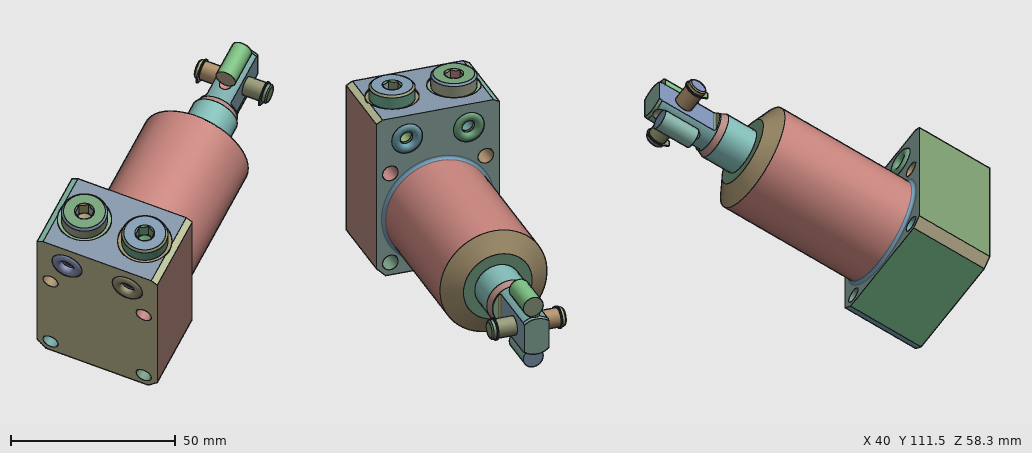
import cadquery as cq
import math


block_width = 40.0
block_depth = 26.0
block_height = 54.4
block_top = 34.6
top_chamfer_width = 2.0
top_chamfer_height = 1.1
bottom_chamfer = 3.0
bolt_hole_diameter = 5.0
bolt_offset = 15.5
block_bottom = block_top - block_height
block_front = -block_depth
block_middle = -block_depth / 2

barrel_radius = 17.4
barrel_length = 47.6
barrel_root_fillet = 1.0
nose_radius = 11.2
nose_length = 3.7
barrel_end = barrel_length + nose_length

rod_radius = 7.5
rod_end = 61.5
eye_radius = 6.5
eye_start = 63.7
eye_width = 8.0
flats_start = 64.1
flat_fillet = 0.7
rod_tip = 84.6
tip_taper_length = 1.0
tip_taper = 0.3

pin_to_tip = 8.9
cross_y = rod_tip - pin_to_tip
pin_radius = 3.0
pin_length = 24.1
pin_chamfer = 0.5
clip_x = 10.4
clip_thickness = 0.5
clip_radius = 3.5
clip_lug_reach = 4.3
clip_lug_half_width = 1.2
roller_radius = 3.2
roller_length = 12.2
roller_outer_z = 12.0
roller_z = roller_outer_z - roller_radius
roller_start = cross_y - roller_length / 2
roller_end = cross_y + roller_length / 2

port_x = 10.0
port_depth = 8.0
port_z = block_top - port_depth
passage_radius = 2.1
o_ring_outer_radius = 5.0
o_ring_tube_radius = 1.5
o_ring_protrusion = 0.9
o_ring_radius = o_ring_outer_radius - o_ring_tube_radius
o_ring_inset = o_ring_tube_radius - o_ring_protrusion
o_ring_recess_depth = o_ring_inset + o_ring_tube_radius

plug_head_radius = 7.0
plug_head_rise = 3.9
plug_chamfer = 0.7
plug_shank_radius = 4.5
plug_tip_depth = 8.7
spotface_radius = 8.3
spotface_depth = 0.6
hex_flats = 5.0
hex_corner_radius = hex_flats / math.sqrt(3)
hex_depth = 4.5
hex_entry_radius = 3.0
drill_radius = hex_flats / 2
drill_cone_depth = 1.5

plug_top = block_top + plug_head_rise
spotface_z = block_top - spotface_depth
plug_tip_z = block_top - plug_tip_depth
hex_floor_z = plug_top - hex_depth


def y_cylinder(radius, y_start, y_end, x, z):
    """A cylinder parallel to the rod."""
    base = cq.Vector(x, y_start, z)
    return cq.Workplane(obj=cq.Solid.makeCylinder(radius, y_end - y_start, base, cq.Vector(0, 1, 0)))


def make_block():
    half_width = block_width / 2
    return (
        cq.Workplane("XZ")
        .moveTo(-half_width + bottom_chamfer, block_bottom)
        .lineTo(half_width - bottom_chamfer, block_bottom)
        .lineTo(half_width, block_bottom + bottom_chamfer)
        .lineTo(half_width, block_top - top_chamfer_height)
        .lineTo(half_width - top_chamfer_width, block_top)
        .lineTo(-half_width + top_chamfer_width, block_top)
        .lineTo(-half_width, block_top - top_chamfer_height)
        .lineTo(-half_width, block_bottom + bottom_chamfer)
        .close()
        .extrude(block_depth)
    )


def make_barrel_and_rod():
    """Barrel with its conical nose, rod and round eye, turned about the cylinder axis."""
    return (
        cq.Workplane("XY")
        .lineTo(barrel_radius + barrel_root_fillet, 0)
        .radiusArc((barrel_radius, barrel_root_fillet), barrel_root_fillet)
        .lineTo(barrel_radius, barrel_length)
        .lineTo(nose_radius, barrel_end)
        .lineTo(rod_radius, barrel_end)
        .lineTo(rod_radius, rod_end)
        .lineTo(eye_radius, eye_start)
        .lineTo(eye_radius, rod_tip - tip_taper_length)
        .lineTo(eye_radius - tip_taper, rod_tip)
        .lineTo(0, rod_tip)
        .close()
        .revolve(360, (0, 0), (0, 1))
    )


def make_flat_cutters():
    """Blocks that cut the two flats of the eye, with a rounded corner at the shoulder."""
    cutter_width = eye_radius
    cutter_length = rod_tip - flats_start + flat_fillet
    cutter_height = 3 * eye_radius
    center_x = (eye_width + cutter_width) / 2
    center_y = flats_start + cutter_length / 2
    return (
        cq.Workplane("XY")
        .pushPoints([(-center_x, center_y), (center_x, center_y)])
        .box(cutter_width, cutter_length, cutter_height)
        .edges("|Z and <Y")
        .fillet(flat_fillet)
    )


def make_roller(side):
    return y_cylinder(roller_radius, roller_start, roller_end, 0, side * roller_z)


def make_roller_groove(side):
    """Groove that fits a roller and has ball-shaped ends beyond it."""
    return (
        cq.Workplane("XY")
        .moveTo(0, roller_start - roller_radius)
        .radiusArc((roller_radius, roller_start), -roller_radius)
        .lineTo(roller_radius, roller_end)
        .radiusArc((0, roller_end + roller_radius), -roller_radius)
        .close()
        .revolve(360, (0, 0), (0, 1))
        .translate((0, 0, side * roller_z))
    )


def make_cross_pin():
    return (
        cq.Workplane("YZ")
        .center(cross_y, 0)
        .circle(pin_radius)
        .extrude(pin_length / 2, both=True)
        .faces("<X or >X")
        .chamfer(pin_chamfer)
    )


def make_clip(side):
    """Retaining clip: a ring whose flanks run tangentially to a lug pointing to the block."""
    lug_corner_distance = math.hypot(clip_lug_reach, clip_lug_half_width)
    tangent_angle = math.acos(clip_radius / lug_corner_distance)
    tangent_angle += math.atan2(clip_lug_half_width, clip_lug_reach)
    tangent_y = -clip_radius * math.cos(tangent_angle)
    tangent_z = clip_radius * math.sin(tangent_angle)
    return (
        cq.Workplane("YZ", origin=(side * clip_x - clip_thickness / 2, cross_y, 0))
        .moveTo(-clip_lug_reach, -clip_lug_half_width)
        .lineTo(tangent_y, -tangent_z)
        .threePointArc((clip_radius, 0), (tangent_y, tangent_z))
        .lineTo(-clip_lug_reach, clip_lug_half_width)
        .close()
        .extrude(clip_thickness)
    )


def make_bolt_holes():
    corners = [(x, z) for x in (-bolt_offset, bolt_offset) for z in (-bolt_offset, bolt_offset)]
    return cq.Workplane("XZ").pushPoints(corners).circle(bolt_hole_diameter / 2).extrude(block_depth)


def make_port(x):
    """Passage through the block with an O-ring recess at both ends, and the plug hole above it."""
    passage = y_cylinder(passage_radius, block_front, 0, x, port_z)
    front_recess = y_cylinder(o_ring_outer_radius, block_front, block_front + o_ring_recess_depth, x, port_z)
    back_recess = y_cylinder(o_ring_outer_radius, -o_ring_recess_depth, 0, x, port_z)
    plug_hole = (
        cq.Workplane("XY", origin=(x, block_middle, plug_tip_z))
        .circle(plug_shank_radius)
        .extrude(plug_tip_depth)
    )
    spotface = (
        cq.Workplane("XY", origin=(x, block_middle, spotface_z))
        .circle(spotface_radius)
        .extrude(spotface_depth)
    )
    return passage.union(front_recess).union(back_recess).union(plug_hole).union(spotface)


def make_cylinder():
    cylinder = make_block().union(make_barrel_and_rod()).cut(make_flat_cutters())
    for side in (-1, 1):
        cylinder = cylinder.cut(make_roller_groove(side)).union(make_roller(side))
    cylinder = cylinder.union(make_cross_pin())
    for side in (-1, 1):
        cylinder = cylinder.union(make_clip(side))
    cylinder = cylinder.cut(make_bolt_holes())
    for x in (-port_x, port_x):
        cylinder = cylinder.cut(make_port(x))
    return cylinder


def make_o_ring(x, y):
    center = cq.Vector(x, y, port_z)
    axis = cq.Vector(0, 1, 0)
    return cq.Workplane(obj=cq.Solid.makeTorus(o_ring_radius, o_ring_tube_radius, center, axis))


def make_hex_socket():
    """Hexagonal socket with a conical entry and a drill point below it."""
    hexagon = (
        cq.Workplane("XY", origin=(0, 0, hex_floor_z))
        .transformed(rotate=(0, 0, 90))
        .polygon(6, 2 * hex_corner_radius)
        .extrude(hex_depth)
    )
    entry_depth = hex_entry_radius - drill_radius
    entry_base = cq.Vector(0, 0, plug_top - entry_depth)
    entry = cq.Solid.makeCone(drill_radius, hex_entry_radius, entry_depth, entry_base)
    drill_tip = cq.Vector(0, 0, hex_floor_z - drill_cone_depth)
    drill_point = cq.Solid.makeCone(0, drill_radius, drill_cone_depth, drill_tip)
    return hexagon.union(cq.Workplane(obj=entry)).union(cq.Workplane(obj=drill_point))


def make_plug(x):
    turned = (
        cq.Workplane("XZ")
        .moveTo(0, plug_tip_z)
        .lineTo(plug_shank_radius, plug_tip_z)
        .lineTo(plug_shank_radius, spotface_z)
        .lineTo(plug_head_radius, spotface_z)
        .lineTo(plug_head_radius, plug_top - plug_chamfer)
        .lineTo(plug_head_radius - plug_chamfer, plug_top)
        .lineTo(0, plug_top)
        .close()
        .revolve(360, (0, 0), (0, 1))
    )
    return turned.cut(make_hex_socket()).translate((x, block_middle, 0))


cylinder = make_cylinder()

o_rings = []
plugs = []
for port in (-port_x, port_x):
    plugs.append(make_plug(port))
    for ring_y in (block_front + o_ring_inset, -o_ring_inset):
        o_rings.append(make_o_ring(port, ring_y))

result = cq.Compound.makeCompound([body.val() for body in [cylinder, *o_rings, *plugs]])